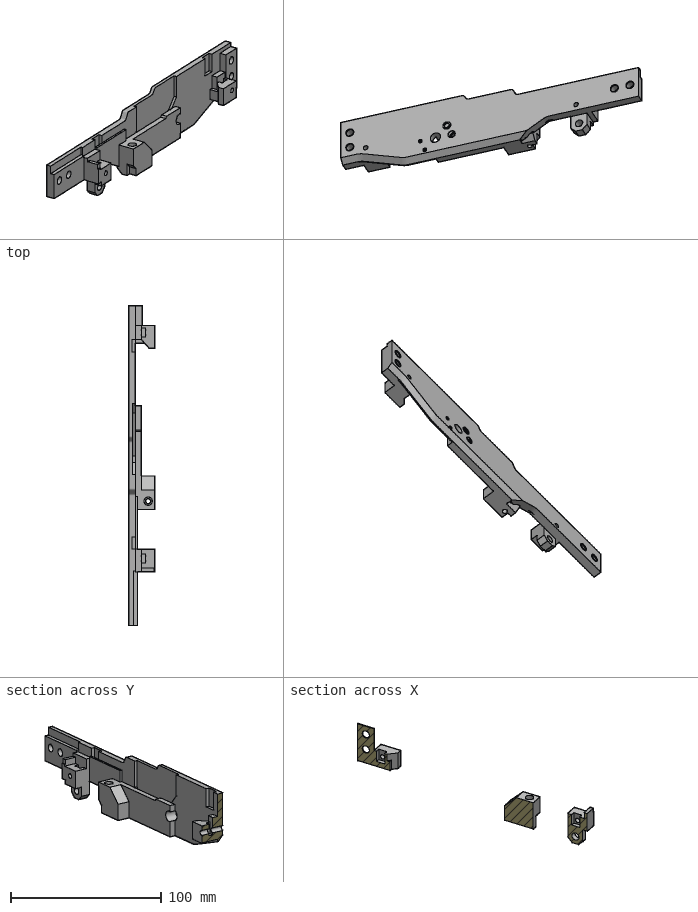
import cadquery as cq

LENGTH = 213.0
HEIGHT = 44.7
DEPTH = 17.5
PLATE_THICKNESS = 4.5
SKIN_THICKNESS = 2.5
LEDGE_DEPTH = 8.5

BELLY_Z = 1.3
WING_Z = 12.5
STEP_Z = 41.0
LOW_TOP_Z = 35.8
EDGE_CHAMFER = 3.6
BELLY_START_Y = 86.5
WING_START_Y = 199.8

BACKING_DEPTH = 6.0
BACKING_TOP_Z = 30.2
BACKING_END_Y = 85.8

FRONT_BRACKET_Y = (35.8, 51.0)
MID_BRACKET_Y = (77.3, 99.7)
REAR_BRACKET_Y = (184.7, 200.0)
FRONT_HOLE = (44.7, 17.0)
REAR_HOLE = (195.1, 19.8)
BRACKET_RISE = 5.1
LEDGE_TOP_Z = 29.0
BRACKET_DROP = 7.2
MID_TOP_Z = 22.2
MID_RAMP_Y = 90.3


def box(x, y, z):
    """Block spanning the given (low, high) pairs."""
    size = (x[1] - x[0], y[1] - y[0], z[1] - z[0])
    return cq.Workplane("XY").box(*size, centered=False).translate((x[0], y[0], z[0]))


def side_prism(points, x_start, x_end):
    """Extrude a (Y, Z) outline along X."""
    plane = cq.Workplane("YZ", origin=(x_start, 0, 0))
    return plane.polyline(points).close().extrude(x_end - x_start)


def bore(center, diameter, depth=DEPTH):
    """Round cutter along X, starting at the plate face."""
    return cq.Workplane("YZ").center(*center).circle(diameter / 2).extrude(depth)


RAMP_CORNERS = [(125.2, HEIGHT), (122.5, STEP_Z), (90.3, STEP_Z), (87.3, LOW_TOP_Z)]
WING_CORNERS = [(66.0, WING_Z), (168.5, BELLY_Z), (WING_START_Y, WING_Z)]
OUTLINE = [
    (0, WING_Z),
    WING_CORNERS[0],
    (BELLY_START_Y, BELLY_Z),
    *WING_CORNERS[1:],
    (LENGTH, WING_Z),
    (LENGTH, HEIGHT),
    *RAMP_CORNERS,
    (0, LOW_TOP_Z),
]
RAMP_RADIUS = 1.7
WING_RADIUS = 10.6


def corner(point):
    """Selector for the plate edge along X through an outline corner."""
    return cq.selectors.NearestToPointSelector((PLATE_THICKNESS / 2, *point))


def round_corners(body, points, radius):
    for point in points:
        body = body.edges("|X").edges(corner(point)).fillet(radius)
    return body


def make_plate():
    sharp = side_prism(OUTLINE, 0, PLATE_THICKNESS)
    plate = round_corners(sharp, RAMP_CORNERS, RAMP_RADIUS)
    plate = round_corners(plate, WING_CORNERS, WING_RADIUS)
    margin = 0.2
    lower_edge = cq.selectors.BoxSelector(
        (-margin, BELLY_START_Y - margin, BELLY_Z - margin),
        (margin, LENGTH + margin, WING_Z + margin),
        boundingbox=True,
    )
    plate = plate.edges(lower_edge).chamfer(EDGE_CHAMFER)
    backing = side_prism(OUTLINE, PLATE_THICKNESS, BACKING_DEPTH)
    backing = backing.intersect(box((0, BACKING_DEPTH), (0, BACKING_END_Y), (0, BACKING_TOP_Z)))
    backing = backing.cut(box((0, BACKING_DEPTH), FRONT_BRACKET_Y, (LEDGE_TOP_Z, BACKING_TOP_Z)))
    return plate.union(backing)


END_REBATE_LENGTH = 36.2
END_REBATE_FLOOR = 3.2
POCKET_DROP = 12.8
POCKET_SKIN = 2.1
REAR_POCKET_Y = (182.3, 190.5)
FRONT_POCKET_Y = (51.1, 59.0)
TROUGH_Y = (100.5, 148.0)
TROUGH_FLOOR = [
    (TROUGH_Y[0], 22.4),
    (108.6, 8.5),
    (112.9, 8.5),
    (135.3, 19.2),
    (141.6, 22.4),
    (TROUGH_Y[1], 29.8),
]


def make_recesses():
    back = (SKIN_THICKNESS, PLATE_THICKNESS)
    pocket = (POCKET_SKIN, PLATE_THICKNESS)
    rear = box(pocket, REAR_POCKET_Y, (HEIGHT - POCKET_DROP, HEIGHT))
    front = box(pocket, FRONT_POCKET_Y, (LOW_TOP_Z - POCKET_DROP, LOW_TOP_Z))
    trough = side_prism([(TROUGH_Y[0], HEIGHT), *TROUGH_FLOOR, (TROUGH_Y[1], HEIGHT)], *back)
    rebate = box(
        (END_REBATE_FLOOR, BACKING_DEPTH), (0, END_REBATE_LENGTH), (BACKING_TOP_Z, LOW_TOP_Z)
    )
    return rear.union(front).union(trough).union(rebate)


PAD_STEP_Y = (129.3, 130.4)
PAD_END_Y = 146.5
PAD_RISE = 1.3
END_PAD_TOP_Z = 41.7
END_PAD_DEPTH = 9.2


def make_pads():
    middle = side_prism(
        [
            (MID_RAMP_Y, BELLY_Z),
            (PAD_END_Y, BELLY_Z),
            (PAD_END_Y, MID_TOP_Z + PAD_RISE),
            (PAD_STEP_Y[1], MID_TOP_Z + PAD_RISE),
            (PAD_STEP_Y[0], MID_TOP_Z),
            (MID_RAMP_Y, MID_TOP_Z),
        ],
        PLATE_THICKNESS,
        LEDGE_DEPTH,
    )
    end = box((PLATE_THICKNESS, END_PAD_DEPTH), (REAR_BRACKET_Y[1], LENGTH), (WING_Z, END_PAD_TOP_Z))
    return middle.union(end)


LUG_X = (BACKING_DEPTH, 12.4)
LUG_Y = (39.2, FRONT_BRACKET_Y[1])
LUG_CHAMFER = 3.5
LIP_Y = (FRONT_BRACKET_Y[0], 38.3)
LIP_DEPTH = 16.8
LIP_TOP_Z = 26.6
LIP_STEP_Z = 23.5
NUT_SLOT_WIDTH = 6.0
NUT_SLOT_DEPTH = 2.8


def nut_slot(hole):
    """Slot from above that exposes the small cross hole of a bracket."""
    y, z = hole
    half = NUT_SLOT_WIDTH / 2
    slot_x = (LEDGE_DEPTH, LEDGE_DEPTH + NUT_SLOT_DEPTH)
    return box(slot_x, (y - half, y + half), (z - half, z + BRACKET_RISE))


def make_front_bracket():
    z = FRONT_HOLE[1]
    body = box((BACKING_DEPTH, DEPTH), (LIP_Y[1], FRONT_BRACKET_Y[1]), (WING_Z, z + BRACKET_RISE))
    body = body.union(box((BACKING_DEPTH, DEPTH), LUG_Y, (z - BRACKET_DROP, WING_Z)))
    body = body.union(box((PLATE_THICKNESS, DEPTH), LIP_Y, (WING_Z, LIP_STEP_Z)))
    body = body.union(box((PLATE_THICKNESS, LIP_DEPTH), LIP_Y, (LIP_STEP_Z, LIP_TOP_Z)))
    body = body.union(box((PLATE_THICKNESS, LEDGE_DEPTH), FRONT_BRACKET_Y, (WING_Z, LEDGE_TOP_Z)))
    lug = box(LUG_X, LUG_Y, (0, WING_Z)).edges("|X and <Z").chamfer(LUG_CHAMFER)
    return body.union(lug).cut(nut_slot(FRONT_HOLE))


MID_UNDERCUT = 3.2
MID_UNDERCUT_Z = 6.5
MID_BEVEL = 3.8
SCREW_HOLE = (13.0, 82.9)
SCREW_DIAMETER = 3.2
SCREW_HEAD_DIAMETER = 5.5
SCREW_HEAD_DEPTH = 3.2


def make_middle_bracket():
    y0, y1 = MID_BRACKET_Y
    bracket = side_prism(
        [
            (y0, BELLY_Z),
            (y1, BELLY_Z),
            (y1, MID_TOP_Z - (y1 - MID_RAMP_Y)),
            (MID_RAMP_Y, MID_TOP_Z),
            (y0, MID_TOP_Z),
        ],
        PLATE_THICKNESS,
        DEPTH,
    )
    undercut = side_prism(
        [
            (y0, BELLY_Z),
            (y0 + MID_UNDERCUT, BELLY_Z),
            (y0 + MID_UNDERCUT, MID_UNDERCUT_Z),
            (y0, MID_UNDERCUT_Z + MID_UNDERCUT),
        ],
        LUG_X[1],
        DEPTH,
    )
    bevel = (
        cq.Workplane("XZ", origin=(0, y0, 0))
        .polyline(
            [
                (PLATE_THICKNESS, BELLY_Z),
                (PLATE_THICKNESS + MID_BEVEL, BELLY_Z),
                (PLATE_THICKNESS, BELLY_Z + MID_BEVEL),
            ]
        )
        .close()
        .extrude(y0 - BELLY_START_Y)
    )
    top = cq.Workplane("XY", origin=(0, 0, MID_TOP_Z)).center(*SCREW_HOLE)
    shank = top.circle(SCREW_DIAMETER / 2).extrude(-MID_TOP_Z)
    head = top.circle(SCREW_HEAD_DIAMETER / 2).extrude(-SCREW_HEAD_DEPTH)
    return bracket.cut(undercut).cut(bevel).cut(shank).cut(head)


HOOK_TIP_X = 13.6
HOOK_ROOT = (LEDGE_DEPTH, 190.5)
FOOT_START_Y = 187.9
FOOT_DEPTH = 11.0


def make_rear_bracket():
    z = REAR_HOLE[1]
    y0, y1 = REAR_BRACKET_Y
    hook = (
        cq.Workplane("XY", origin=(0, 0, WING_Z))
        .polyline([HOOK_ROOT, (HOOK_TIP_X, y0), (DEPTH, y0), (DEPTH, y1), (LEDGE_DEPTH, y1)])
        .close()
        .extrude(z + BRACKET_RISE - WING_Z)
    )
    ledge = box((PLATE_THICKNESS, LEDGE_DEPTH), (HOOK_ROOT[1], y1), (WING_Z, LEDGE_TOP_Z))
    foot = box((PLATE_THICKNESS, FOOT_DEPTH), (FOOT_START_Y, y1), (WING_Z, z))
    return hook.union(ledge).union(foot).cut(nut_slot(REAR_HOLE))


MOUNT_DIAMETER = 5.1
MOUNT_SEAT_DIAMETER = 5.5
MOUNT_SEAT_DEPTH = 0.6
MOUNT_HOLES = [(206.6, 35.1), (206.6, 23.5), (17.5, 23.5), (6.4, 23.5)]
SMALL_DIAMETER = 3.2
PIVOT_DIAMETER = 7.2
PIVOT = (145.3, 15.5)
LUG_HOLE_DIAMETER = 5.1
LUG_HOLE = (45.0, 5.8)
PIN_HOLES = [(156.1, 15.5), (153.0, 7.7)]
PIN_OUTER = 2.5
PIN_INNER = 1.5
RING_CENTER = (137.2, 23.5)
RING_OUTER = 5.5
RING_INNER = 3.5
SLOTTED_CENTER = (133.8, 15.5)
SLOTTED_DIAMETER = 5.1
SLOT_SIZE = (3.6, 1.0)
SLOT_ANGLE = -45
MARK_DEPTH = 0.5


def annulus(center, outer, inner):
    return bore(center, outer, MARK_DEPTH).cut(bore(center, inner, MARK_DEPTH))


def make_holes():
    holes = bore(PIVOT, PIVOT_DIAMETER)
    holes = holes.union(bore(LUG_HOLE, LUG_HOLE_DIAMETER))
    for center in MOUNT_HOLES:
        holes = holes.union(bore(center, MOUNT_DIAMETER))
        holes = holes.union(bore(center, MOUNT_SEAT_DIAMETER, MOUNT_SEAT_DEPTH))
    for center in (FRONT_HOLE, REAR_HOLE):
        holes = holes.union(bore(center, SMALL_DIAMETER))
    return holes


def make_face_details():
    details = annulus(RING_CENTER, RING_OUTER, RING_INNER)
    for center in PIN_HOLES:
        details = details.union(annulus(center, PIN_OUTER, PIN_INNER))
    slot = cq.Workplane("YZ").rect(*SLOT_SIZE).extrude(MARK_DEPTH)
    slot = slot.rotate((0, 0, 0), (1, 0, 0), SLOT_ANGLE).translate((MARK_DEPTH, *SLOTTED_CENTER))
    screw = bore(SLOTTED_CENTER, SLOTTED_DIAMETER, MARK_DEPTH)
    return details.union(screw).union(slot)


result = make_plate().cut(make_recesses())
for feature in (make_pads(), make_front_bracket(), make_middle_bracket(), make_rear_bracket()):
    result = result.union(feature)
result = result.cut(make_holes()).cut(make_face_details())